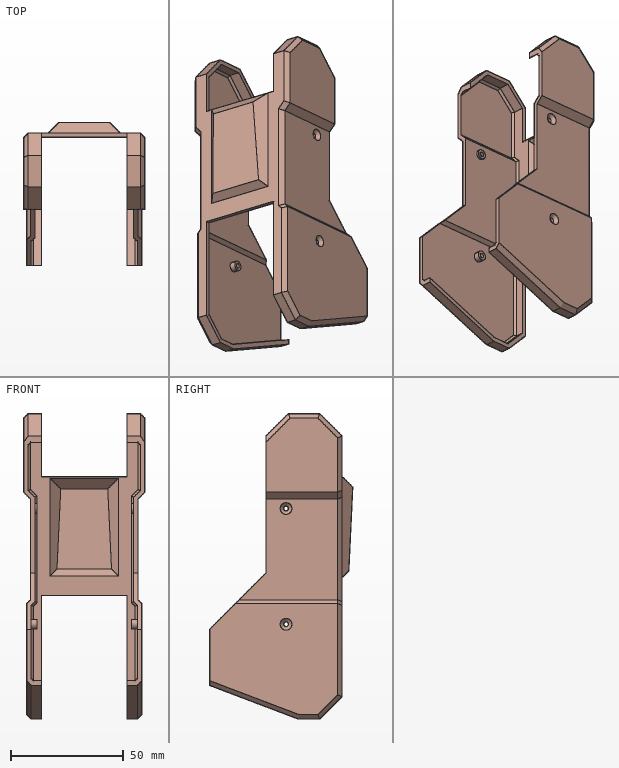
import cadquery as cq
import math


height = 136.0
upper_depth = 34.0
lower_depth = 59.0
corner_cut = 10.0
lower_front_top = 40.0
lower_front_bottom = 15.0
bottom_flat_end = 19.5

upper_half_width = 27.0
middle_half_width = 24.0
lower_half_width = 25.6
upper_step_top = 101.0
lower_step_bottom = 51.5

wall = 2.0
outer_chamfer = 2.0
inner_chamfer = 1.0
overshoot = 5.0

rim_half_gap = 19.0
bridge_bottom = 55.0
bridge_top = 108.0

bump_half_width = 16.0
bump_bottom = 63.0
bump_top = bridge_top
bump_top_height = 4.75
bump_bottom_height = 3.0

screw_depth = 25.0
screw_heights = (42.25, 93.75)
screw_diameter = 2.0
countersink_diameter = 5.2
boss_diameter = 4.4
boss_inner_x = 21.0

bevel_angle = 45.0
corner_shift = math.tan(math.radians(bevel_angle / 2))
slope_shift = 1 / math.cos(math.radians(bevel_angle))
tolerance = 0.01


def side_outline(inset, reach):
    """YZ outline with its closed edges moved in by inset and its open front moved out by reach."""
    shift = inset * corner_shift
    slope = math.atan2(lower_front_bottom, lower_depth - bottom_flat_end)
    upper_front = upper_depth + reach
    lower_front = lower_depth + reach
    upper_slope_end = height - corner_cut - inset * slope_shift - reach
    lower_slope_end = lower_front_bottom + inset / math.cos(slope) + reach * math.tan(slope)
    lean_height = lower_depth - upper_depth
    outline = [
        (inset, corner_cut + shift),
        (inset, height - corner_cut - shift),
        (corner_cut + shift, height - inset),
        (upper_depth - corner_cut - shift, height - inset),
        (upper_front, upper_slope_end),
        (upper_front, lower_front_top + lean_height),
        (lower_front, lower_front_top),
        (lower_front, lower_slope_end),
        (bottom_flat_end - inset * math.tan(slope / 2), inset),
        (corner_cut + shift, inset),
    ]
    return [(-depth, z) for depth, z in outline]


def width_outline(inset):
    """Stepped XZ outline, with its two long sides moved in by inset."""
    shift = inset * corner_shift
    upper_step = upper_half_width - middle_half_width
    lower_step = lower_half_width - middle_half_width
    right_side = [
        (lower_half_width - inset, 0),
        (lower_half_width - inset, lower_step_bottom - shift),
        (middle_half_width - inset, lower_step_bottom + lower_step - shift),
        (middle_half_width - inset, upper_step_top - upper_step + shift),
        (upper_half_width - inset, upper_step_top + shift),
        (upper_half_width - inset, height),
    ]
    left_side = [(-x, z) for x, z in reversed(right_side)]
    return right_side + left_side


def is_closed_edge_face(face):
    """True for the back, top and bottom faces, false for the stepped sides and the open front."""
    center = face.Center()
    faces_sideways = abs(face.normalAt().x) > tolerance
    on_front = center.y < tolerance - upper_depth and center.z > lower_front_bottom
    return not faces_sideways and not on_front


def stepped_block(inset, reach, chamfer):
    """Solid with the side outline and stepped width, chamfered along its closed edges."""
    side = cq.Workplane("YZ").polyline(side_outline(inset, reach)).close()
    side = side.extrude(upper_half_width, both=True)
    front = cq.Workplane("XZ").polyline(width_outline(inset)).close()
    front = front.extrude(lower_depth + 2 * reach)
    block = side.intersect(front)
    closed_edges = block.faces().filter(is_closed_edge_face).edges("not |X")
    return closed_edges.chamfer(chamfer)


def rim_gap(bottom, top):
    """Block that opens the full depth between the rims from bottom to top."""
    floor = cq.Workplane("XY", origin=(0, 0, bottom))
    return floor.rect(2 * rim_half_gap, 2 * lower_depth).extrude(top - bottom)


def bump_body(inset):
    """Bump with 45 degree sides and a leaning face, all faces moved in by inset.

    It starts on the front of the bridge, so that it serves for the cavity as well.
    """
    base_growth = wall - inset * slope_shift
    half_width = bump_half_width + base_growth
    bottom = bump_bottom - base_growth
    top = bump_top + base_growth
    rise = wall + bump_top_height
    face_top = bump_top - bump_top_height
    face_bottom = bump_bottom + bump_bottom_height
    lean = math.atan2(bump_top_height - bump_bottom_height, face_top - face_bottom)
    drop = inset / math.cos(lean)
    middle = (bottom + top) / 2

    pyramid = (cq.Workplane("XZ", origin=(0, -wall, middle))
               .rect(2 * half_width, top - bottom)
               .extrude(-rise, taper=bevel_angle))

    def face_y(z):
        return bump_top_height - (face_top - z) * math.tan(lean) - drop

    wedge = (cq.Workplane("YZ")
             .polyline([(-wall, bottom), (face_y(bottom), bottom), (face_y(top), top), (-wall, top)])
             .close()
             .extrude(half_width, both=True))
    return pyramid.intersect(wedge)


def on_both_sides(body):
    """The body together with its mirror image across X = 0."""
    return body.union(body.mirror("YZ"))


def screw_boss(z, outer_x):
    """Pair of round bosses on the insides of the walls, rooted halfway into the wall."""
    boss = (cq.Workplane("YZ", origin=(boss_inner_x, -screw_depth, z))
            .circle(boss_diameter / 2)
            .extrude(outer_x - wall / 2 - boss_inner_x))
    return on_both_sides(boss)


def screw_hole(z, outer_x):
    """Pair of through holes with a countersink on the outside of each wall."""
    sink_depth = (countersink_diameter - screw_diameter) / 2
    side_face = cq.Workplane("YZ", origin=(outer_x, -screw_depth, z))
    bore = side_face.circle(screw_diameter / 2).extrude(boss_inner_x - outer_x - overshoot)
    sink = side_face.circle(countersink_diameter / 2).extrude(-sink_depth, taper=bevel_angle)
    return on_both_sides(bore.union(sink))


body = stepped_block(0, 0, outer_chamfer)
body = body.cut(stepped_block(wall, overshoot, inner_chamfer))

body = body.union(bump_body(0))
body = body.cut(rim_gap(-overshoot, bridge_bottom))
body = body.cut(rim_gap(bridge_top, height + overshoot))
body = body.cut(bump_body(wall))

for screw_height, outer_x in zip(screw_heights, (lower_half_width, middle_half_width)):
    body = body.union(screw_boss(screw_height, outer_x))
    body = body.cut(screw_hole(screw_height, outer_x))

result = body